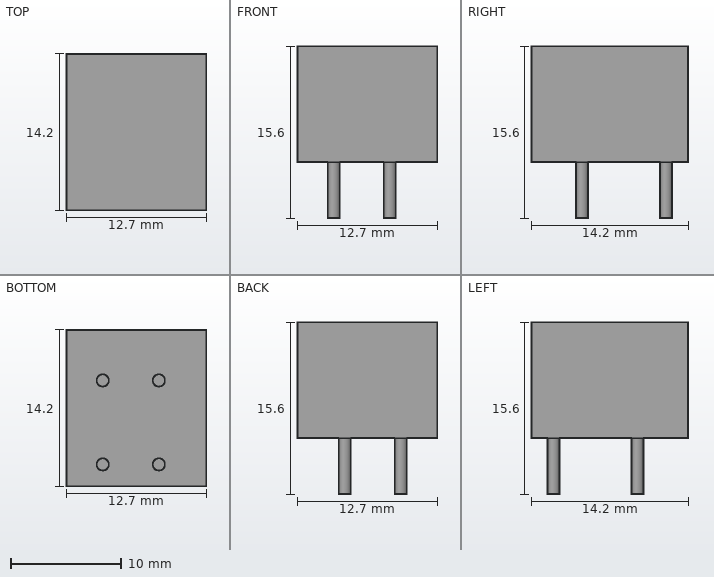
import cadquery as cq

housing_width = 12.7
housing_depth = 14.2
total_height = 15.6

pin_diameter = 1.1
pin_length = 5.09
pin_spacing_x = 5.09
pin_spacing_y = 7.61
first_pin_x = -3.04
first_pin_y = -2.51

housing_height = total_height - pin_length


def make_housing():
    """Plain block standing on top of the pins."""
    return (
        cq.Workplane("XY")
        .workplane(offset=pin_length)
        .rect(housing_width, housing_depth)
        .extrude(housing_height)
    )


def make_pin(x, y):
    """Round pin whose top end meets the underside of the housing."""
    return cq.Workplane("XY").center(x, y).circle(pin_diameter / 2).extrude(pin_length)


housing = make_housing()

pins = []
for pin_x in (first_pin_x, first_pin_x + pin_spacing_x):
    for pin_y in (first_pin_y, first_pin_y + pin_spacing_y):
        pins.append(make_pin(pin_x, pin_y).val())

result = cq.Compound.makeCompound([housing.val(), *pins])